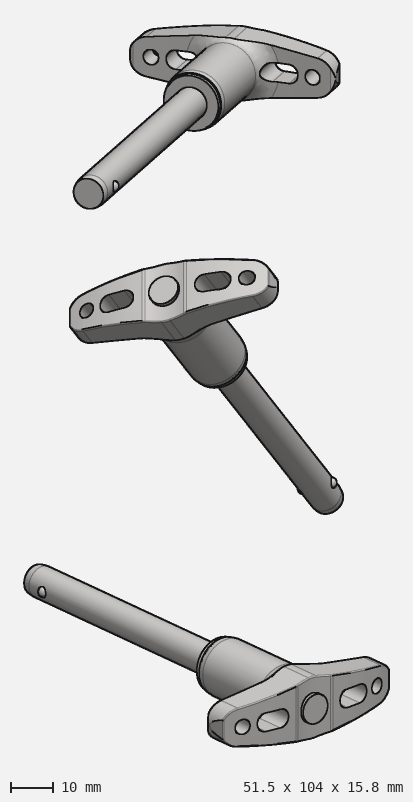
import cadquery as cq
import math


shank_radius = 4.0
shank_length = 68.2
tip_radius = 3.75
tip_taper_length = 2.1

ball_radius = 1.35
ball_reach = 4.9
ball_from_tip = 7.1

sleeve_radius = 7.35
collar_radius = 6.85
collar_length = 1.25
sleeve_lip_radius = 7.15
sleeve_taper_length = 1.55

grip_length = 35.8
button_radius = 3.7

handle_half_length = 25.75
handle_centre_radius = 7.895
handle_end_radius = 5.0
end_centre_x = handle_half_length - handle_end_radius

end_face_front_depth = 7.7
end_face_back_x = 25.1
end_face_back_depth = 3.5
front_end_depth = 8.95
front_centre_depth = 8.15
front_corner_radius = 1.0
shoulder_mid_x = 15.0
shoulder_mid_depth = 1.05
hump_x = 5.2
hump_depth = 0.42
hump_blend_radius = 3.0
valley_depth = 1.15
back_edge_radius = 0.3

blank_half_height = 20.0
selection_margin = 0.5

flare_radius = 4.2

slot_inner_x = 7.75
slot_outer_x = 16.5
slot_width = 4.7
hole_x = 20.25
hole_diameter = 3.75


def depth_to_y(depth):
    """Y position of a point lying a given depth below the button face."""
    return grip_length - depth


def taper_midpoint(start_radius, start_y, end_radius, length):
    """Middle point of an arc that leaves a cylinder tangentially and narrows toward -Y."""
    drop = start_radius - end_radius
    arc_radius = (length**2 + drop**2) / (2 * drop)
    half_angle = math.asin(length / arc_radius) / 2
    return (
        start_radius - arc_radius * (1 - math.cos(half_angle)),
        start_y - arc_radius * math.sin(half_angle),
    )


def revolve_about_pin_axis(half_profile):
    return half_profile.close().revolve(360, (0, 0, 0), (0, 1, 0))


def make_shank():
    tip_y = -shank_length
    taper_y = tip_y + tip_taper_length
    profile = (
        cq.Workplane("XY")
        .moveTo(0, collar_length)
        .lineTo(shank_radius, collar_length)
        .lineTo(shank_radius, taper_y)
        .threePointArc(
            taper_midpoint(shank_radius, taper_y, tip_radius, tip_taper_length),
            (tip_radius, tip_y),
        )
        .lineTo(0, tip_y)
    )
    return revolve_about_pin_axis(profile)


def make_ball(side):
    centre_x = side * (ball_reach - ball_radius)
    centre_y = ball_from_tip - shank_length
    return cq.Workplane("XY").sphere(ball_radius).translate((centre_x, centre_y, 0))


def make_sleeve():
    """Sleeve with its front collar, running up inside the handle."""
    taper_y = collar_length + sleeve_taper_length
    inner_end_y = depth_to_y(front_end_depth / 2)
    profile = (
        cq.Workplane("XY")
        .moveTo(0, 0)
        .lineTo(collar_radius, 0)
        .lineTo(collar_radius, collar_length)
        .lineTo(sleeve_lip_radius, collar_length)
        .threePointArc(
            taper_midpoint(sleeve_radius, taper_y, sleeve_lip_radius, sleeve_taper_length),
            (sleeve_radius, taper_y),
        )
        .lineTo(sleeve_radius, inner_end_y)
        .lineTo(0, inner_end_y)
    )
    return revolve_about_pin_axis(profile)


def make_handle_blank():
    """Handle profile extruded taller than the finished handle."""
    end_slope = (handle_half_length - end_face_back_x) / (end_face_front_depth - end_face_back_depth)
    corner_x = handle_half_length + end_slope * (front_end_depth - end_face_front_depth)
    front_y = depth_to_y(front_end_depth)
    end_back_y = depth_to_y(end_face_back_depth)
    shoulder_y = depth_to_y(shoulder_mid_depth)
    hump_y = depth_to_y(hump_depth)
    blank = (
        cq.Workplane("XY")
        .workplane(offset=-blank_half_height)
        .moveTo(-corner_x, front_y)
        .threePointArc((0, depth_to_y(front_centre_depth)), (corner_x, front_y))
        .lineTo(end_face_back_x, end_back_y)
        .threePointArc((shoulder_mid_x, shoulder_y), (hump_x, hump_y))
        .threePointArc((0, depth_to_y(valley_depth)), (-hump_x, hump_y))
        .threePointArc((-shoulder_mid_x, shoulder_y), (-end_face_back_x, end_back_y))
        .close()
        .extrude(2 * blank_half_height)
    )
    blank = blank.edges("|Z and <X").fillet(front_corner_radius)
    blank = blank.edges("|Z and >X").fillet(front_corner_radius)
    for side in (-1, 1):
        hump_edge = cq.selectors.NearestToPointSelector((side * hump_x, hump_y, 0))
        blank = blank.edges("|Z").edges(hump_edge).fillet(hump_blend_radius)
    return blank


def make_handle_outline():
    """Prism along Y with the rounded, tapering outline of the handle."""
    taper_sine = (handle_centre_radius - handle_end_radius) / end_centre_x
    taper_cosine = math.sqrt(1 - taper_sine**2)
    centre_x = handle_centre_radius * taper_sine
    centre_z = handle_centre_radius * taper_cosine
    end_x = end_centre_x + handle_end_radius * taper_sine
    end_z = handle_end_radius * taper_cosine
    return (
        cq.Workplane("XZ")
        .moveTo(-centre_x, centre_z)
        .threePointArc((0, handle_centre_radius), (centre_x, centre_z))
        .lineTo(end_x, end_z)
        .threePointArc((handle_half_length, 0), (end_x, -end_z))
        .lineTo(centre_x, -centre_z)
        .threePointArc((0, -handle_centre_radius), (-centre_x, -centre_z))
        .lineTo(-end_x, -end_z)
        .threePointArc((-handle_half_length, 0), (-end_x, end_z))
        .close()
        .extrude(-grip_length)
    )


def make_button():
    base_y = depth_to_y(front_end_depth / 2)
    return (
        cq.Workplane("XZ", origin=(0, base_y, 0))
        .circle(button_radius)
        .extrude(base_y - grip_length)
    )


def make_arm_openings(side):
    """Lengthwise slot and small round hole through one arm of the handle."""
    slot_centre_x = side * (slot_inner_x + slot_outer_x) / 2
    slot = (
        cq.Workplane("XZ")
        .center(slot_centre_x, 0)
        .slot2D(slot_outer_x - slot_inner_x, slot_width)
        .extrude(-grip_length)
    )
    hole = cq.Workplane("XZ").center(side * hole_x, 0).circle(hole_diameter / 2).extrude(-grip_length)
    return slot.union(hole)


def back_rim():
    """Selector for the edges around the back face, leaving out the seams that cross it."""
    rim_front_y = depth_to_y(end_face_back_depth + selection_margin)
    reach = handle_half_length + selection_margin
    back_edges = cq.selectors.BoxSelector(
        (-reach, rim_front_y, -reach), (reach, grip_length, reach), boundingbox=True
    )
    crossing_seams = cq.selectors.BoxSelector(
        (-end_centre_x, rim_front_y, -selection_margin),
        (end_centre_x, grip_length, selection_margin),
    )
    return back_edges - crossing_seams


def make_grip():
    """Handle and sleeve blended by the flare, then trimmed to the handle outline."""
    joined = make_handle_blank().union(make_sleeve())
    joint_y = depth_to_y(front_centre_depth)
    reach = sleeve_radius + selection_margin
    joint_edge = cq.selectors.BoxSelector(
        (-reach, joint_y - selection_margin, -reach),
        (reach, joint_y + selection_margin, reach),
        boundingbox=True,
    )
    grip = joined.edges(joint_edge).fillet(flare_radius).intersect(make_handle_outline())
    return grip.edges(back_rim()).fillet(back_edge_radius)


result = make_grip().union(make_button()).union(make_shank())
for arm_side in (-1, 1):
    result = result.cut(make_arm_openings(arm_side)).union(make_ball(arm_side))